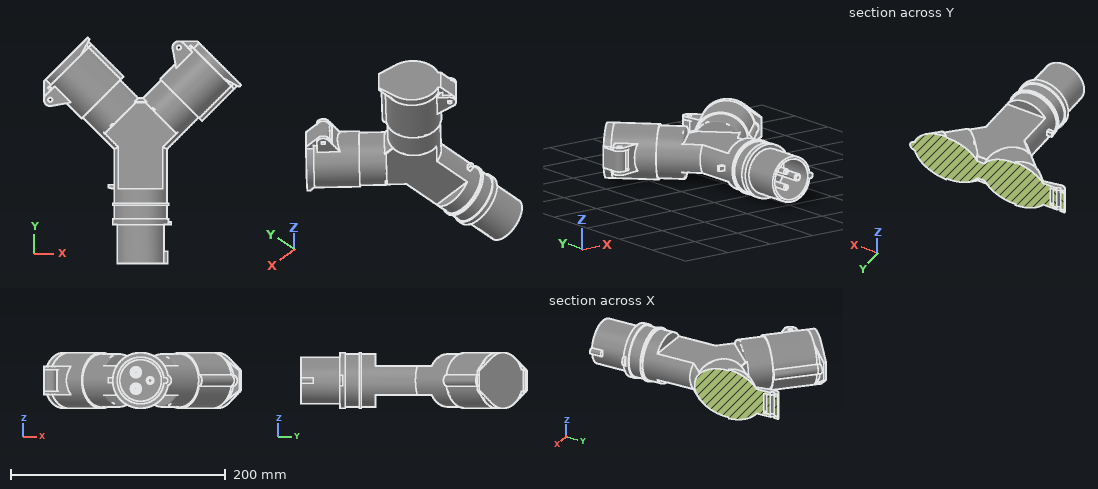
import cadquery as cq
import math


BRANCH_Y = 117.0
ARM_ANGLES = (45, -45)

BODY_RADIUS = 49.5 / 2
RIM_RADIUS = 52.0 / 2
NECK_HALF_HEIGHT = 13.7
NECK_START_Y = 69.5
NECK_BLOCK_SIZE = 210.8
CROTCH_TOP_Y = 154.3
CROTCH_FLAT_END_Y = 149.6
CROTCH_BEVEL_RUN = 1.3
CROTCH_BEVEL_RISE = 0.8
CROTCH_HALF_WIDTH = 6.0
ARM_COLLAR_START = 26.5
COLLAR_FILLET = 1.5

SLEEVE_RADIUS = 43.6 / 2
SLEEVE_BORE_RADIUS = 19.4
FLANGE_START_Y = 36.3
FLANGE_END_Y = 41.5
RING_START_Y = 54.2
RING_END_Y = 56.3
PLUG_KEY_RADIUS = 2.7
PLUG_KEY_REACH = 25.5
PLUG_KEY_LENGTH = 11.5
FLANGE_BUMP_RADIUS = 5.3
FLANGE_BUMP_REACH = 28.7
FLANGE_BUMP_LENGTH = 2.5

PIN_CIRCLE_RADIUS = 8.9
PIN_TIP_Y = 1.0
PIN_RADIUS = 2.5
EARTH_PIN_RADIUS = 3.4
PIN_CHAMFER = 1.3
PIN_COLLAR_RADIUS = 5.0
PIN_COLLAR_LENGTH = 3.2

NUB_HALF_WIDTH = 2.3
NUB_TIP_X = -30.0
NUB_TOP_Y = 73.5
NUB_TIP_BOTTOM_Y = 70.6
NUB_ROOT_BOTTOM_Y = 69.0

BARREL_START = 51.6
LID_START = 94.0
LID_END = 101.2
RIB_RADIUS = 5.5
RIB_REACH = 29.3

TAB_REACH = 31.5
TAB_HALF_WIDTH = 9.3
TAB_TIP_THICKNESS = 2.5

HINGE_X = -34.4
HINGE_Y = 84.7
KNUCKLE_RADIUS = 12.0 / 2
HINGE_HOLE_RADIUS = 2.0
LUG_HALF_WIDTH = 13.0
KNUCKLE_HALF_WIDTH = 10.0
LUG_ROOT_Y = 69.3
SLOT_GAP = 2.1
BARREL_GAP = 2.0


def cylinder_y(radius, start, end, x=0.0, z=0.0):
    """Cylinder parallel to Y between two Y positions."""
    return cq.Workplane("XZ", origin=(x, start, z)).circle(radius).extrude(start - end)


def slab(sketch, half_width):
    """Extrude a closed outline equally to both sides of its plane."""
    return sketch.extrude(half_width, both=True)


def rounded_rib(radius, reach, start, end):
    """Rib along Y on the +X side with a half-round outer edge, reaching back to the axis."""
    center_x = reach - radius
    web = cq.Workplane("XY").box(center_x, end - start, 2 * radius, centered=(False, False, True))
    return web.translate((0, start, 0)).union(cylinder_y(radius, start, end, x=center_x))


def tangent_point(px, py, cx, cy, radius, side):
    """Point where a line from (px, py) touches a circle; side +1 or -1 picks one of the two."""
    distance = math.hypot(px - cx, py - cy)
    angle = math.atan2(py - cy, px - cx) + side * math.acos(radius / distance)
    return cx + radius * math.cos(angle), cy + radius * math.sin(angle)


def turn_to_arm(shape, angle):
    """Move a shape from the upright arm position to one of the two arms."""
    return shape.rotate((0, 0, 0), (0, 0, 1), angle).translate((0, BRANCH_Y, 0))




def make_neck():
    """Flat-sided Y joining the stem to the arms, before the crotch is filled."""
    neck = cylinder_y(BODY_RADIUS, NECK_START_Y, BRANCH_Y)
    for angle in ARM_ANGLES:
        neck = neck.union(turn_to_arm(cylinder_y(BODY_RADIUS, 0, BARREL_START), angle))
    flats = cq.Workplane("XY").box(NECK_BLOCK_SIZE, NECK_BLOCK_SIZE, 2 * NECK_HALF_HEIGHT)
    return neck.intersect(flats.translate((0, BRANCH_Y, 0)))


def make_crotch():
    """Web between the arms with a rounded end face, bevelled down to the flats of the neck."""
    bevel_end_y = CROTCH_FLAT_END_Y + CROTCH_BEVEL_RUN
    bevel_end_z = NECK_HALF_HEIGHT + CROTCH_BEVEL_RISE
    outline = (
        cq.Workplane("YZ")
        .moveTo(BRANCH_Y, -NECK_HALF_HEIGHT)
        .lineTo(CROTCH_FLAT_END_Y, -NECK_HALF_HEIGHT)
        .lineTo(bevel_end_y, -bevel_end_z)
        .threePointArc((CROTCH_TOP_Y, 0), (bevel_end_y, bevel_end_z))
        .lineTo(CROTCH_FLAT_END_Y, NECK_HALF_HEIGHT)
        .lineTo(BRANCH_Y, NECK_HALF_HEIGHT)
        .close()
    )
    return slab(outline, CROTCH_HALF_WIDTH)


def make_stem():
    """Round lower stem with its ring, flange and hollow plug sleeve."""
    stem = cylinder_y(BODY_RADIUS, FLANGE_START_Y, NECK_START_Y)
    stem = stem.union(cylinder_y(RIM_RADIUS, FLANGE_START_Y, FLANGE_END_Y))
    stem = stem.union(cylinder_y(RIM_RADIUS, RING_START_Y, RING_END_Y))
    bump_end = FLANGE_START_Y + FLANGE_BUMP_LENGTH
    stem = stem.union(rounded_rib(FLANGE_BUMP_RADIUS, FLANGE_BUMP_REACH, FLANGE_START_Y, bump_end))
    sleeve = cylinder_y(SLEEVE_RADIUS, 0, FLANGE_START_Y)
    sleeve = sleeve.union(rounded_rib(PLUG_KEY_RADIUS, PLUG_KEY_REACH, 0, PLUG_KEY_LENGTH))
    return stem.union(sleeve.cut(cylinder_y(SLEEVE_BORE_RADIUS, 0, FLANGE_START_Y)))


def make_pins():
    """Earth pin on +X and two collared contact pins, equally spaced on one circle."""
    earth_pin = cylinder_y(EARTH_PIN_RADIUS, PIN_TIP_Y, FLANGE_START_Y, x=PIN_CIRCLE_RADIUS)
    pins = [earth_pin.faces("<Y").chamfer(PIN_CHAMFER)]
    for angle in (120, 240):
        x = PIN_CIRCLE_RADIUS * math.cos(math.radians(angle))
        z = PIN_CIRCLE_RADIUS * math.sin(math.radians(angle))
        pin = cylinder_y(PIN_RADIUS, PIN_TIP_Y, FLANGE_START_Y, x, z)
        collar = cylinder_y(PIN_COLLAR_RADIUS, FLANGE_START_Y - PIN_COLLAR_LENGTH, FLANGE_START_Y, x, z)
        collar = collar.faces("<Y").chamfer(PIN_CHAMFER)
        pins.append(pin.faces("<Y").chamfer(PIN_CHAMFER).union(collar))
    return pins


def make_nub():
    """Small latch nub on the -X side of the stem, sloped underneath."""
    root_x = -BODY_RADIUS + NUB_HALF_WIDTH
    outline = cq.Workplane("XY").polyline([
        (root_x, NUB_TOP_Y),
        (NUB_TIP_X, NUB_TOP_Y),
        (NUB_TIP_X, NUB_TIP_BOTTOM_Y),
        (root_x, NUB_ROOT_BOTTOM_Y),
    ]).close()
    return slab(outline, NUB_HALF_WIDTH)


def make_hinge_lug():
    """Forked lug on the barrel, open between its two cheeks for the lid's knuckle."""
    root_x = -math.sqrt(RIM_RADIUS**2 - LUG_HALF_WIDTH**2)
    lug_top = HINGE_Y + KNUCKLE_RADIUS
    low_x, low_y = tangent_point(root_x, LUG_ROOT_Y, HINGE_X, HINGE_Y, KNUCKLE_RADIUS, -1)
    outline = (
        cq.Workplane("XY")
        .moveTo(0, LUG_ROOT_Y)
        .lineTo(root_x, LUG_ROOT_Y)
        .lineTo(low_x, low_y)
        .threePointArc((HINGE_X - KNUCKLE_RADIUS, HINGE_Y), (HINGE_X, lug_top))
        .lineTo(0, lug_top)
        .close()
    )
    lug = slab(outline, LUG_HALF_WIDTH)
    slot_right = -RIM_RADIUS - BARREL_GAP
    slot_left = HINGE_X - 2 * KNUCKLE_RADIUS
    slot_bottom = HINGE_Y - KNUCKLE_RADIUS - SLOT_GAP
    slot = cq.Workplane("XY").polyline([
        (slot_left, slot_bottom),
        (slot_right, slot_bottom),
        (slot_right, lug_top),
        (slot_left, lug_top),
    ]).close()
    return lug.cut(slab(slot, KNUCKLE_HALF_WIDTH)).cut(make_hinge_hole())


def make_hinge_hole():
    """Round bar through the whole hinge, used to bore it."""
    hole = cq.Workplane("XY").center(HINGE_X, HINGE_Y).circle(HINGE_HOLE_RADIUS)
    return slab(hole, LUG_HALF_WIDTH)


def make_arm():
    """One upright arm: rounded collar, socket barrel, rib and hinge lug."""
    collar = cylinder_y(BODY_RADIUS, ARM_COLLAR_START, BARREL_START).faces("<Y").fillet(COLLAR_FILLET)
    barrel = cylinder_y(RIM_RADIUS, BARREL_START, LID_START)
    rib = rounded_rib(RIB_RADIUS, RIB_REACH, BARREL_START, LID_START)
    return barrel.union(rib).union(make_hinge_lug()).union(collar)


def make_housing():
    """Neck, stem, pins, nub and both arms as one solid."""
    housing = make_stem().union(make_neck()).union(make_crotch()).union(make_nub())
    for pin in make_pins():
        housing = housing.union(pin)
    for angle in ARM_ANGLES:
        housing = housing.union(turn_to_arm(make_arm(), angle))
    return housing




def make_lid_cover():
    """Round cover drawn out to a blunt tab on +X, with the tab sloping underneath."""
    touch_x, touch_z = tangent_point(TAB_REACH, TAB_HALF_WIDTH, 0, 0, RIM_RADIUS, 1)
    plate = (
        cq.Workplane("XZ", origin=(0, LID_END, 0))
        .moveTo(touch_x, -touch_z)
        .threePointArc((-RIM_RADIUS, 0), (touch_x, touch_z))
        .lineTo(TAB_REACH, TAB_HALF_WIDTH)
        .lineTo(TAB_REACH, -TAB_HALF_WIDTH)
        .close()
        .extrude(LID_END - LID_START)
    )
    undercut = cq.Workplane("XY").polyline([
        (touch_x, LID_START),
        (TAB_REACH, LID_END - TAB_TIP_THICKNESS),
        (TAB_REACH, LID_START),
    ]).close()
    round_cover = cylinder_y(RIM_RADIUS, LID_START, LID_END)
    return plate.cut(slab(undercut, RIM_RADIUS).cut(round_cover))


def make_lid_arm():
    """Hinge arm from the lid to its knuckle; its outer side becomes parallel to Y when mounted."""
    half_diagonal = KNUCKLE_RADIUS * math.sqrt(0.5)
    outer_x = HINGE_X - half_diagonal
    outer_y = HINGE_Y + half_diagonal
    corner_x = outer_x + (LID_END - outer_y)
    arm = cq.Workplane("XY").polyline([
        (0, LID_END),
        (corner_x, LID_END),
        (outer_x, outer_y),
        (HINGE_X, HINGE_Y),
        (HINGE_X + KNUCKLE_RADIUS, HINGE_Y),
        (-RIM_RADIUS - BARREL_GAP, LID_START),
        (0, LID_START),
    ]).close()
    knuckle = cq.Workplane("XY").center(HINGE_X, HINGE_Y).circle(KNUCKLE_RADIUS)
    hinge_arm = slab(arm, KNUCKLE_HALF_WIDTH).union(slab(knuckle, KNUCKLE_HALF_WIDTH))
    return hinge_arm.cut(make_hinge_hole())


def make_lid():
    """One upright lid: tabbed cover, end of the rib and hinge arm."""
    rib_end = rounded_rib(RIB_RADIUS, RIB_REACH, LID_START, LID_END)
    return make_lid_cover().union(rib_end).union(make_lid_arm())


housing = make_housing()
lids = [turn_to_arm(make_lid(), angle) for angle in ARM_ANGLES]

result = cq.Compound.makeCompound([housing.val(), *[lid.val() for lid in lids]])